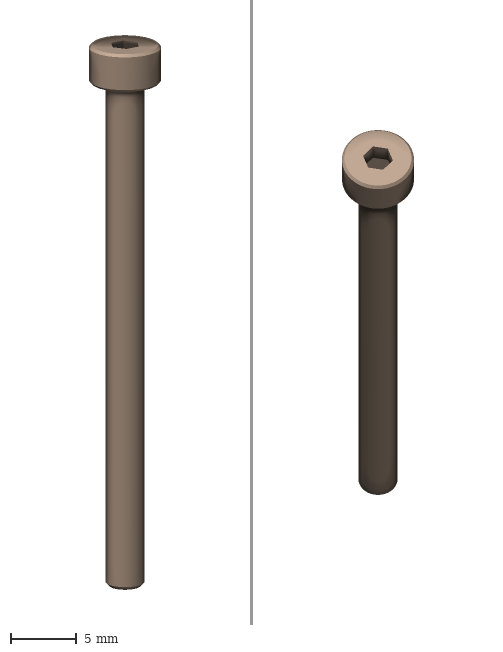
import cadquery as cq
import math

thread_diameter = 3.0
shank_length = 40.0
head_diameter = 5.5
head_height = 3.0
head_chamfer = 0.2
tip_chamfer = 0.3
socket_across_flats = 2.0
socket_depth = head_height / 2


def make_head():
    """Cylindrical head with chamfered upper and lower rims."""
    head = cq.Workplane("XY").circle(head_diameter / 2).extrude(head_height)
    head = head.faces(">Z").edges().chamfer(head_chamfer)
    return head.faces("<Z").edges().chamfer(head_chamfer)


def make_shank():
    """Plain shank below the head with a chamfered tip."""
    shank = cq.Workplane("XY").circle(thread_diameter / 2).extrude(-shank_length)
    return shank.faces("<Z").edges().chamfer(tip_chamfer)


def make_socket():
    """Hexagonal key socket with two corners on the Y axis."""
    across_corners = socket_across_flats / math.cos(math.radians(30))
    return (
        cq.Workplane("XY", origin=(0, 0, head_height))
        .transformed(rotate=(0, 0, 90))
        .polygon(6, across_corners)
        .extrude(-socket_depth)
    )


result = make_head().union(make_shank()).cut(make_socket())